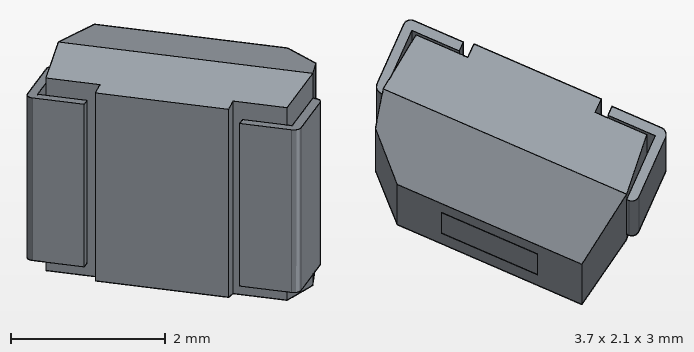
import cadquery as cq

total_width = 3.7
total_depth = 2.1
body_height = 3.0

mark_thickness = 0.003
mark_height = 1.36
mark_width = mark_height
mark_offset_z = 0.07

lead_thickness = 0.13
lead_corner_radius = 0.1
lead_height = 2.3
foot_length = 0.8

body_width = total_width - 2 * lead_thickness
body_depth = total_depth - mark_thickness
parting_y = body_depth / 2
face_inset_z = 0.17
back_inset_left = 0.17
step_inset_x = 0.09
step_depth = 0.2
pad_width = 1.8

bevel_size = 0.55
bevel_start_x = 1.06


def make_body():
    """Body with stepped mounting face, tapered sides and polarity bevel."""
    half_width = body_width / 2
    half_step = half_width - step_inset_x
    half_pad = pad_width / 2
    outline_xy = [
        (-half_pad, 0),
        (half_pad, 0),
        (half_pad, step_depth),
        (half_step, step_depth),
        (half_width, parting_y),
        (bevel_start_x + bevel_size, body_depth - bevel_size),
        (bevel_start_x, body_depth),
        (-half_width + back_inset_left, body_depth),
        (-half_width, parting_y),
        (-half_step, step_depth),
        (-half_pad, step_depth),
    ]
    half_height = body_height / 2
    half_face = half_height - face_inset_z
    outline_yz = [
        (0, -half_face),
        (parting_y, -half_height),
        (body_depth, -half_face),
        (body_depth, half_face),
        (parting_y, half_height),
        (0, half_face),
    ]
    plan = cq.Workplane("XY").polyline(outline_xy).close().extrude(half_height, both=True)
    side = cq.Workplane("YZ").polyline(outline_yz).close().extrude(half_width, both=True)
    return plan.intersect(side)


def make_lead(side):
    """L-shaped terminal; side is -1 for the -X end and +1 for the +X end."""
    outer_x = side * total_width / 2
    inner_x = side * body_width / 2
    foot_end_x = side * (total_width / 2 - foot_length)
    outline = [
        (outer_x, 0),
        (outer_x, parting_y),
        (inner_x, parting_y),
        (inner_x, lead_thickness),
        (foot_end_x, lead_thickness),
        (foot_end_x, 0),
    ]
    outer_face = ">X" if side > 0 else "<X"
    lead = cq.Workplane("XY").polyline(outline).close().extrude(lead_height / 2, both=True)
    return lead.faces(outer_face).edges("|Z").fillet(lead_corner_radius)


def make_mark():
    """Thin printed patch centred across the flat part of the back face."""
    flat_start_x = -body_width / 2 + back_inset_left
    mark_center_x = (flat_start_x + bevel_start_x) / 2
    mark_center_y = body_depth + mark_thickness / 2
    patch = cq.Workplane("XY").box(mark_width, mark_thickness, mark_height)
    return patch.translate((mark_center_x, mark_center_y, mark_offset_z))


body = make_body()
leads = [make_lead(side) for side in (-1, 1)]
mark = make_mark()

result = cq.Compound.makeCompound([body.val(), *[lead.val() for lead in leads], mark.val()])